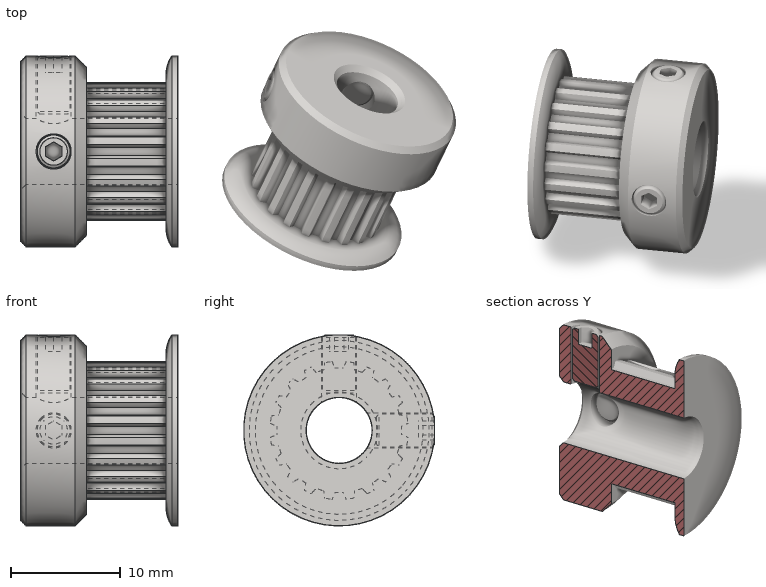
import cadquery as cq
import math

outer_radius = 8.7
total_length = 14.3
hub_length = 6.0
hub_front_chamfer = 0.5
hub_back_chamfer = 1.06

bore_radius = 3.0
bore_chamfer = 0.5

flange_thickness = 1.08
flange_rim_width = 0.54
flange_flat_radius = 7.0

tooth_count = 20
tip_radius = 6.3
root_distance = 5.67
gap_root_half_width = 0.37
gap_tip_half_width = 0.65

screw_hole_radius = 1.6
screw_radius = 1.5
screw_length = 5.3
screw_chamfer = 0.25
socket_across_flats = 1.5
socket_depth = 1.5
screw_roll_angles = [0, -90]

hub_start = -total_length / 2
hub_end = hub_start + hub_length
flange_end = total_length / 2
flange_start = flange_end - flange_thickness
screw_offset = hub_start + hub_length / 2

X_AXIS = ((0, 0, 0), (1, 0, 0))


def make_hub():
    """Chamfered disc that carries the two set screws."""
    hub = cq.Workplane("YZ", origin=(hub_start, 0, 0)).circle(outer_radius).extrude(hub_length)
    hub = hub.faces("<X").chamfer(hub_front_chamfer)
    return hub.faces(">X").chamfer(hub_back_chamfer)


def make_flange():
    """End disc whose inner face curves back to the rim, tangent to the flat part."""
    curve_depth = flange_thickness - flange_rim_width
    curve_height = outer_radius - flange_flat_radius
    curve_radius = (curve_depth**2 + curve_height**2) / (2 * curve_depth)
    half_turn = math.asin(curve_height / curve_radius) / 2
    curve_middle = (
        flange_start + curve_radius * (1 - math.cos(half_turn)),
        flange_flat_radius + curve_radius * math.sin(half_turn),
    )
    profile = (
        cq.Workplane("XY")
        .moveTo(flange_start, 0)
        .lineTo(flange_start, flange_flat_radius)
        .threePointArc(curve_middle, (flange_end - flange_rim_width, outer_radius))
        .lineTo(flange_end, outer_radius)
        .lineTo(flange_end, 0)
        .close()
    )
    return profile.revolve(360, *X_AXIS)


def make_toothed_barrel():
    """Cylinder between hub and flange with evenly spaced trapezoidal belt grooves."""
    barrel_length = flange_start - hub_end
    barrel = cq.Workplane("YZ", origin=(hub_end, 0, 0)).circle(tip_radius).extrude(barrel_length)
    mouth_distance = tip_radius + 0.17
    tip_edge_distance = math.sqrt(tip_radius**2 - gap_tip_half_width**2)
    flank_slope = (gap_tip_half_width - gap_root_half_width) / (tip_edge_distance - root_distance)
    mouth_half_width = gap_root_half_width + flank_slope * (mouth_distance - root_distance)
    groove = (
        cq.Workplane("YZ", origin=(hub_end, 0, 0))
        .polyline([
            (root_distance, -gap_root_half_width),
            (mouth_distance, -mouth_half_width),
            (mouth_distance, mouth_half_width),
            (root_distance, gap_root_half_width),
        ])
        .close()
        .extrude(barrel_length)
    )
    for index in range(tooth_count):
        barrel = barrel.cut(groove.rotate(*X_AXIS, index * 360 / tooth_count))
    return barrel


def cut_bore(body):
    """Through bore along X, chamfered at the hub face."""
    bore = cq.Workplane("YZ", origin=(hub_start, 0, 0)).circle(bore_radius).extrude(total_length)
    mouth = cq.Solid.makeCone(
        bore_radius + bore_chamfer,
        bore_radius,
        bore_chamfer,
        cq.Vector(hub_start, 0, 0),
        cq.Vector(1, 0, 0),
    )
    return body.cut(bore).cut(cq.Workplane(mouth))


def cut_screw_holes(body):
    """Clearance holes from the hub surface into the bore."""
    hole = cq.Workplane("XY").center(screw_offset, 0).circle(screw_hole_radius).extrude(outer_radius)
    for roll in screw_roll_angles:
        body = body.cut(hole.rotate(*X_AXIS, roll))
    return body


def make_pulley():
    """Hub, toothed barrel and flange in one piece, with bore and screw holes."""
    body = make_hub().union(make_toothed_barrel()).union(make_flange())
    return cut_screw_holes(cut_bore(body))


def make_set_screw(roll):
    """Hex-socket set screw chamfered at both ends, its top level with the hub surface, rolled about X."""
    bottom = outer_radius - screw_length
    screw = (
        cq.Workplane("XY", origin=(screw_offset, 0, bottom))
        .circle(screw_radius)
        .extrude(screw_length)
        .faces("<Z or >Z")
        .chamfer(screw_chamfer)
    )
    socket = (
        cq.Workplane("XY", origin=(screw_offset, 0, outer_radius))
        .polygon(6, socket_across_flats, circumscribed=True)
        .extrude(-socket_depth)
    )
    return screw.cut(socket).rotate(*X_AXIS, roll)


pulley = make_pulley()
set_screws = [make_set_screw(roll) for roll in screw_roll_angles]

result = cq.Compound.makeCompound([pulley.val(), *[screw.val() for screw in set_screws]])